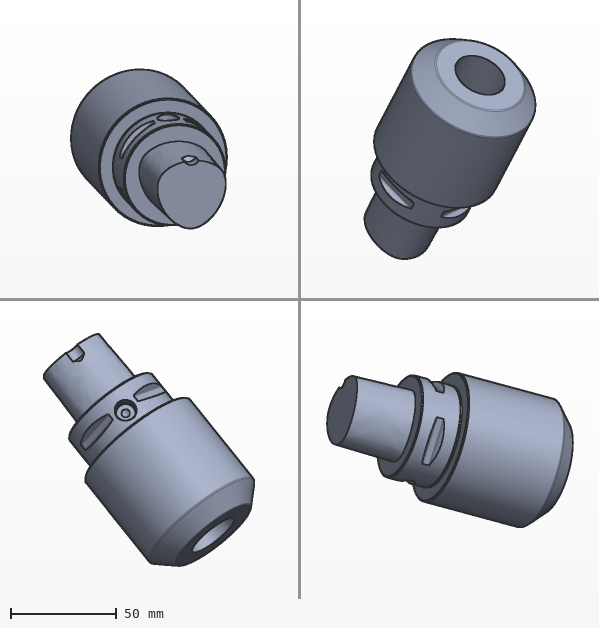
import cadquery as cq
import math

body_diameter = 63.0
body_length = 59.0
nose_diameter = 45.0
nose_cone_length = 9.0
body_edge_chamfer = 0.6
nose_shoulder_radius = 1.0
nose_rim_radius = 1.0
bore_diameter = 25.0
bore_depth = 56.0

flange_diameter = 50.0
flange_length = 20.0
flange_chamfer = 0.6
relief_diameter = 49.4
relief_length = 1.0

shank_length = 30.0
shank_mean_diameter = 35.0
shank_lobe_height = 1.0
shank_lobes = 3
outline_points = 24
shank_taper = 1 / 20

slot_count = 4
slot_first_angle = 45.0
slot_floor_radius = 22.15
slot_floor_width = 3.6
slot_corner_radius = 0.5
slot_flank_angle = 30.0
slot_from_shank_face = 10.0

pocket_diameter = 10.0
pocket_depth = 5.0
pocket_from_shank_face = 12.0
pocket_floor_chamfer = 0.45
pocket_rim_chamfer = 0.2
dimple_diameter = 4.0
dimple_depth = 1.2

keyway_diameter = 8.0
keyway_straight_length = 5.4
keyway_tip_angle = 100.0
keyway_axis_height = 17.6

flange_start = body_length + relief_length
shank_face = flange_start + flange_length
pocket_center = shank_face - pocket_from_shank_face
total_length = shank_face + shank_length

cutter_clearance = 1.0
cutter_top_radius = flange_diameter / 2 + cutter_clearance


def make_turned_body():
    """Body, relief groove and flange as one revolved profile, with the blind bore in the nose."""
    body_radius = body_diameter / 2
    flange_radius = flange_diameter / 2
    profile = (
        cq.Workplane("XY")
        .moveTo(0, 0)
        .lineTo(0, nose_diameter / 2)
        .lineTo(nose_cone_length, body_radius)
        .lineTo(body_length - body_edge_chamfer, body_radius)
        .lineTo(body_length, body_radius - body_edge_chamfer)
        .lineTo(body_length, relief_diameter / 2)
        .lineTo(flange_start, relief_diameter / 2)
        .lineTo(flange_start, flange_radius)
        .lineTo(shank_face - flange_chamfer, flange_radius)
        .lineTo(shank_face, flange_radius - flange_chamfer)
        .lineTo(shank_face, 0)
        .close()
    )
    body = profile.revolve(360, (0, 0, 0), (1, 0, 0))
    nose_shoulder = cq.NearestToPointSelector((nose_cone_length, 0, 0))
    body = body.edges("%CIRCLE").edges(nose_shoulder).fillet(nose_shoulder_radius)
    body = body.faces("<X").edges().fillet(nose_rim_radius)
    bore = cq.Workplane("YZ").circle(bore_diameter / 2).extrude(bore_depth)
    return body.cut(bore)


def polygon_point(mean_diameter, turn):
    """Point of the constant-width lobed outline in YZ; one lobe points to -Z."""
    normal_angle = 2 * math.pi * turn
    reach = mean_diameter / 2 + shank_lobe_height * math.cos(shank_lobes * normal_angle)
    slide = -shank_lobes * shank_lobe_height * math.sin(shank_lobes * normal_angle)
    along = reach * math.cos(normal_angle) - slide * math.sin(normal_angle)
    across = reach * math.sin(normal_angle) + slide * math.cos(normal_angle)
    return across, -along


def polygon_outline(mean_diameter):
    """Evenly turned points once around the lobed outline."""
    turns = [index / outline_points for index in range(outline_points)]
    return [polygon_point(mean_diameter, turn) for turn in turns]


def make_shank():
    """Lobed polygon shank tapering towards its free end."""
    end_mean_diameter = shank_mean_diameter - shank_taper * shank_length
    return (
        cq.Workplane("YZ", origin=(shank_face, 0, 0))
        .spline(polygon_outline(shank_mean_diameter), periodic=True)
        .close()
        .workplane(offset=shank_length)
        .spline(polygon_outline(end_mean_diameter), periodic=True)
        .close()
        .loft(ruled=True)
    )


def make_gripper_slot(angle):
    """Straight trapezoidal cutter crossing the flange rim at the given angle about X."""
    slot_center = shank_face - slot_from_shank_face
    floor_half = slot_floor_width / 2
    top_half = floor_half + (cutter_top_radius - slot_floor_radius) * math.tan(math.radians(slot_flank_angle))
    return (
        cq.Workplane("XZ")
        .polyline([
            (slot_center - floor_half, slot_floor_radius),
            (slot_center + floor_half, slot_floor_radius),
            (slot_center + top_half, cutter_top_radius),
            (slot_center - top_half, cutter_top_radius),
        ])
        .close()
        .extrude(flange_diameter / 2, both=True)
        .edges("|Y and <Z")
        .fillet(slot_corner_radius)
        .rotate((0, 0, 0), (1, 0, 0), angle)
    )


def make_screw_pocket():
    """Flat-bottomed pocket with a chamfered floor corner and a conical dimple in the middle."""
    floor_height = flange_diameter / 2 - pocket_depth
    profile = (
        cq.Workplane("XZ")
        .moveTo(0, floor_height - dimple_depth)
        .lineTo(dimple_diameter / 2, floor_height)
        .lineTo(pocket_diameter / 2 - pocket_floor_chamfer, floor_height)
        .lineTo(pocket_diameter / 2, floor_height + pocket_floor_chamfer)
        .lineTo(pocket_diameter / 2, cutter_top_radius)
        .lineTo(0, cutter_top_radius)
        .close()
    )
    pocket = profile.revolve(360, (0, 0, 0), (0, 1, 0))
    return pocket.translate((pocket_center, 0, 0))


def make_keyway():
    """Round-bottomed keyway cutter with a conical inner end."""
    radius = keyway_diameter / 2
    cone_base = total_length - keyway_straight_length
    cone_length = radius / math.tan(math.radians(keyway_tip_angle / 2))
    cutter = (
        cq.Workplane("XY")
        .moveTo(cone_base - cone_length, 0)
        .lineTo(cone_base, radius)
        .lineTo(total_length, radius)
        .lineTo(total_length, 0)
        .close()
        .revolve(360, (0, 0, 0), (1, 0, 0))
    )
    return cutter.translate((0, 0, keyway_axis_height))


result = make_turned_body().union(make_shank())
for slot in range(slot_count):
    result = result.cut(make_gripper_slot(slot_first_angle + slot * 360 / slot_count))
result = result.cut(make_keyway()).cut(make_screw_pocket())
pocket_rim = cq.NearestToPointSelector((pocket_center, 0, flange_diameter / 2))
result = result.edges(pocket_rim).chamfer(pocket_rim_chamfer)